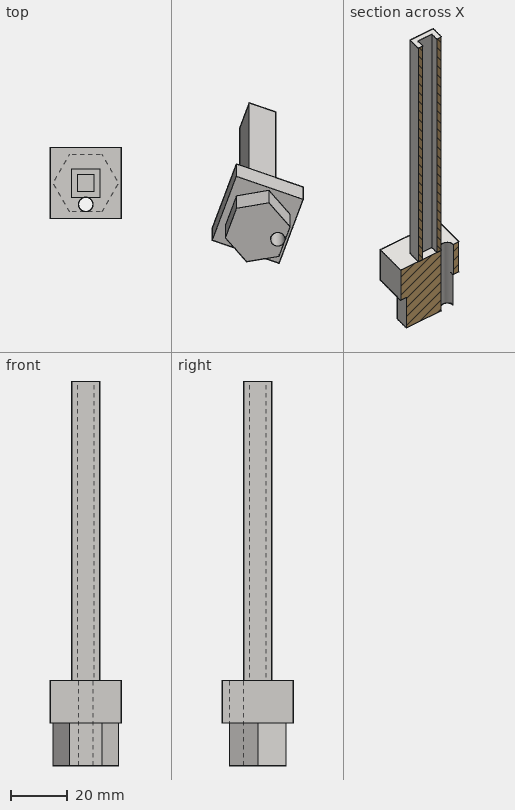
import cadquery as cq
import math

total_height = 135.0
block_side = 25.0
block_height = 15.0
hex_height = 15.0
hex_across_flats = 20.0
tube_side = 10.0
tube_wall = 2.0
hole_diameter = 5.0

hex_across_corners = hex_across_flats / math.cos(math.radians(30))
base_height = hex_height + block_height
tube_length = total_height - base_height
bore_side = tube_side - 2 * tube_wall
hole_y = -(tube_side + hole_diameter) / 2


def make_base():
    """Square block on a hexagonal foot, with one vertical hole through both."""
    foot = cq.Workplane("XY").polygon(6, hex_across_corners).extrude(hex_height)
    block = (
        cq.Workplane("XY")
        .workplane(offset=hex_height)
        .rect(block_side, block_side)
        .extrude(block_height)
    )
    hole = (
        cq.Workplane("XY")
        .center(0, hole_y)
        .circle(hole_diameter / 2)
        .extrude(base_height)
    )
    return foot.union(block).cut(hole).solids()


def make_tube():
    """Open square tube standing on the block."""
    return (
        cq.Workplane("XY")
        .workplane(offset=base_height)
        .rect(tube_side, tube_side)
        .rect(bore_side, bore_side)
        .extrude(tube_length)
    )


base = make_base()
tube = make_tube()

result = cq.Compound.makeCompound([base.val(), tube.val()])